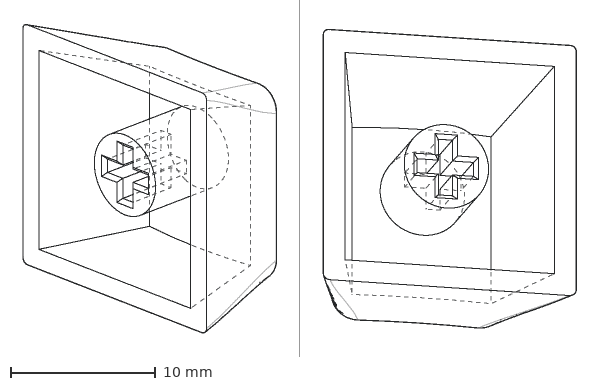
import cadquery as cq

base_size = 18.0
nominal_height = 10.0
top_width = 12.0
back_wall_lean = 3.5
dish_depth = 0.5
wall = 1.5

corner_radius_base = 0.45
corner_radius_top = 1.85
rim_radius = 0.4

stem_diameter = 6.0
stem_recess = 1.0
cross_length = 4.0
cross_arm_width = 1.0
cross_depth = 4.0
cross_chamfer = 0.3

half_base = base_size / 2
half_top = top_width / 2


def make_sharp_body():
    """Tapered block with a dished top: the X-Y outline crossed with the Y-Z outline."""
    across = (
        cq.Workplane("XY")
        .moveTo(-half_base, 0)
        .lineTo(half_base, 0)
        .lineTo(half_top, nominal_height)
        .threePointArc((0, nominal_height - dish_depth), (-half_top, nominal_height))
        .close()
        .extrude(half_base, both=True)
    )
    along = (
        cq.Workplane("YZ")
        .moveTo(0, -half_base)
        .lineTo(nominal_height, -half_base)
        .lineTo(nominal_height, half_base - back_wall_lean)
        .lineTo(0, half_base)
        .close()
        .extrude(half_base, both=True)
    )
    return across.intersect(along)


def make_cavity(body):
    """Inner space that leaves a constant wall thickness inside the sharp body."""
    shell = body.faces("<Y").shell(-wall)
    return body.cut(shell)


def round_corners(body):
    """Round the four corner edges with a radius that grows from base to top."""
    rounding = cq.occ_impl.shapes.BRepFilletAPI_MakeFillet(body.val().wrapped)
    for edge in body.edges("%LINE").vals():
        rise = edge.endPoint().y - edge.startPoint().y
        if abs(rise) < nominal_height / 2:
            continue
        if rise > 0:
            rounding.Add(corner_radius_base, corner_radius_top, edge.wrapped)
        else:
            rounding.Add(corner_radius_top, corner_radius_base, edge.wrapped)
    return cq.Workplane(cq.Shape.cast(rounding.Shape()))


def round_rim(body):
    """Round every edge around the dished top, the only cylindrical face."""
    return body.faces("%CYLINDER").edges().fillet(rim_radius)


def make_stem(cavity):
    """Round stem from the cavity roof to its recessed end, with a plus-shaped blind socket."""
    stem_end = cq.Workplane("XZ", origin=(0, stem_recess, 0))
    post = stem_end.circle(stem_diameter / 2).extrude(-nominal_height).intersect(cavity)
    arm_along_x = stem_end.rect(cross_length, cross_arm_width).extrude(-cross_depth)
    arm_along_z = stem_end.rect(cross_arm_width, cross_length).extrude(-cross_depth)
    stem = post.cut(arm_along_x.union(arm_along_z))
    return stem.faces("<Y").edges("%LINE").chamfer(cross_chamfer)


sharp_body = make_sharp_body()
cavity = make_cavity(sharp_body)
cap = round_rim(round_corners(sharp_body))
result = cap.cut(cavity).union(make_stem(cavity))